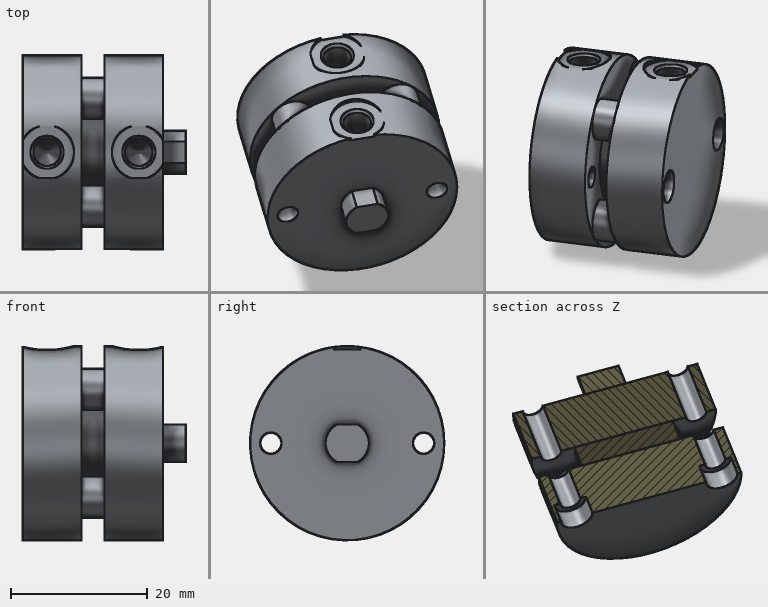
import cadquery as cq
overall_length = 23.87
cap_diameter = 28.45
cap_thickness = 8.62
front_cap_start = overall_length / 2
gap = front_cap_start - cap_thickness
front_cap_end = front_cap_start + cap_thickness

tube_diameter = 15.25
post_diameter = 6.03
post_offset = 7.9

rod_diameter = 6.35
rod_length = overall_length - front_cap_end
rod_across_flats = 5.52

bolt_offset = 11.18
bolt_hole_diameter = 3.07
counterbore_diameter = 4.8
counterbore_depth = 3.05

port_from_outer_face = 3.55
port_seat_diameter = 7.9
port_seat_depth = 0.5
port_mouth_diameter = 4.85
port_diameter = 4.05
port_depth = 5.7
port_tip_height = 1.22

port_seat_level = cap_diameter / 2 - port_seat_depth
port_chamfer = (port_mouth_diameter - port_diameter) / 2


def rod_along_x(diameter, start, length, y=0.0, z=0.0):
    """Cylinder parallel to X that begins at X = start."""
    return cq.Workplane("YZ", origin=(start, y, z)).circle(diameter / 2).extrude(length)


def port_cutter(x):
    """Spot face, chamfered mouth, bore and drill tip, revolved about a vertical axis."""
    seat_radius = port_seat_diameter / 2
    mouth_radius = port_mouth_diameter / 2
    bore_radius = port_diameter / 2
    profile = (
        cq.Workplane("XZ", origin=(x, 0, port_seat_level))
        .moveTo(0, port_seat_depth)
        .lineTo(seat_radius, port_seat_depth)
        .lineTo(seat_radius, 0)
        .lineTo(mouth_radius, 0)
        .lineTo(bore_radius, -port_chamfer)
        .lineTo(bore_radius, -port_depth)
        .lineTo(0, -port_depth - port_tip_height)
        .close()
    )
    return profile.revolve(360, (0, 0, 0), (0, 1, 0))


def make_cap(start, port_x):
    """Cap disc with its port at X = port_x and the two bolt holes."""
    cap = rod_along_x(cap_diameter, start, cap_thickness)
    cap = cap.cut(port_cutter(port_x))
    for side in (-1, 1):
        cap = cap.cut(rod_along_x(bolt_hole_diameter, start, cap_thickness, y=side * bolt_offset))
    return cap


def make_rear_cap():
    """Cap whose outer face carries the counterbores for the bolt heads."""
    cap = make_cap(0.0, port_from_outer_face)
    for side in (-1, 1):
        cap = cap.cut(rod_along_x(counterbore_diameter, 0.0, counterbore_depth, y=side * bolt_offset))
    return cap


def make_front_cap():
    return make_cap(front_cap_start, front_cap_end - port_from_outer_face)


def make_tube():
    """Central round body clamped between the caps."""
    return rod_along_x(tube_diameter, cap_thickness, gap)


def make_post(y, z):
    """One of the four posts between the caps."""
    return rod_along_x(post_diameter, cap_thickness, gap, y, z)


def make_rod_end():
    rod = rod_along_x(rod_diameter, front_cap_end, rod_length)
    flats = cq.Workplane("YZ", origin=(front_cap_end, 0, 0)).rect(rod_diameter, rod_across_flats)
    return rod.intersect(flats.extrude(rod_length))


rear_cap = make_rear_cap()
front_cap = make_front_cap()
tube = make_tube()
rod_end = make_rod_end()
posts = []
for y_side in (-1, 1):
    for z_side in (-1, 1):
        posts.append(make_post(y_side * post_offset, z_side * post_offset).val())

result = cq.Compound.makeCompound(
    [rear_cap.val(), front_cap.val(), tube.val(), rod_end.val(), *posts]
)